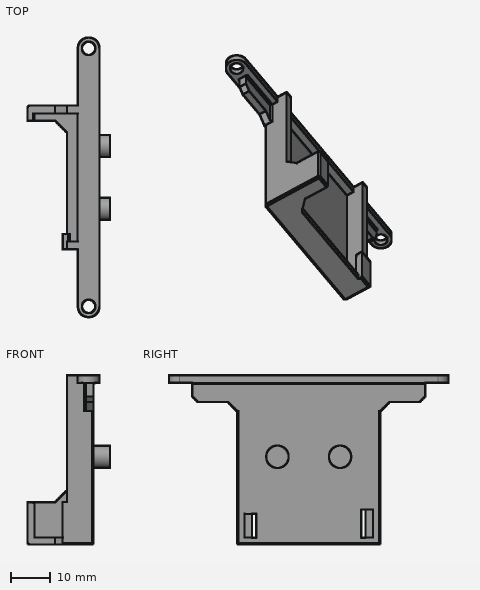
import cadquery as cq

height = 43.4
bar_length = 71.6
thickness = 2.0
edge_chamfer = 0.4

tray_width = 36.8
back_x = 17.0
wall_front_x = 10.1
floor_thickness = 1.8
lip_top_z = 10.9
lip_width = 3.95
short_lip_x = 9.0
lip_thickness = 1.85
gusset = 3.0

slot_inner_y = 13.45
left_slot_top_z = 8.95
right_slot_top_z = 7.9

bar_width = 5.6
bar_front_x = 12.9
bar_hole_diameter = 3.4
arm_half_span = 29.85
arm_bottom_z = 36.45
arm_corner = 1.5
arm_gusset = 2.3
rear_wedge_size = 0.3

boss_diameter = 5.7
boss_end_x = 21.2
boss_spacing = 16.05
boss_z = 22.5

half_width = tray_width / 2
inner_y = half_width - thickness
lip_inner_y = half_width - lip_width
plate_front_x = back_x - thickness
bar_bottom_z = height - thickness


def block(x0, x1, y0, y1, z0, z1):
    """Box between opposite corners."""
    return cq.Workplane("XY").box(x1 - x0, y1 - y0, z1 - z0, centered=False).translate((x0, y0, z0))


def prism_along_y(points, y0, y1):
    """Extrude an XZ outline from y0 to y1."""
    return cq.Workplane("XZ", origin=(0, y0, 0)).polyline(points).close().extrude(y0 - y1)


def make_floor():
    outline = [
        (0, half_width),
        (back_x, half_width),
        (back_x, -half_width),
        (wall_front_x, -half_width),
        (wall_front_x, lip_inner_y - gusset),
        (wall_front_x - gusset, lip_inner_y),
        (0, lip_inner_y),
    ]
    return cq.Workplane("XY").polyline(outline).close().extrude(floor_thickness)


def make_long_wall():
    """Wall on +Y, reaching forward at the bottom to carry the front lip."""
    outline = [
        (0, 0),
        (back_x, 0),
        (back_x, height),
        (wall_front_x, height),
        (wall_front_x, lip_top_z + gusset),
        (wall_front_x - gusset, lip_top_z),
        (0, lip_top_z),
    ]
    return prism_along_y(outline, inner_y, half_width)


def make_lip(front_x, y0, y1):
    """Retaining lip with a lead-in chamfer on its inner top edge."""
    rear_x = front_x + lip_thickness
    outline = [
        (front_x, 0),
        (rear_x, 0),
        (rear_x, lip_top_z - edge_chamfer),
        (rear_x - edge_chamfer, lip_top_z),
        (front_x, lip_top_z),
    ]
    return prism_along_y(outline, y0, y1)


def make_tray():
    plate = block(plate_front_x, back_x, -half_width, half_width, 0, height)
    short_wall = block(wall_front_x, back_x, -half_width, -inner_y, 0, height)
    long_lip = make_lip(0, lip_inner_y, half_width)
    short_lip = make_lip(short_lip_x, -half_width, -lip_inner_y)
    tray = make_floor().union(plate).union(short_wall).union(make_long_wall())
    tray = tray.union(long_lip).union(short_lip)

    left_slot = block(plate_front_x, back_x, slot_inner_y, inner_y, floor_thickness, left_slot_top_z)
    right_slot = block(plate_front_x, back_x, -inner_y, -slot_inner_y, floor_thickness, right_slot_top_z)
    tray = tray.cut(left_slot).cut(right_slot)

    outer_edges = []
    for edge in tray.edges().vals():
        center = edge.Center()
        on_side = abs(abs(center.y) - half_width) < 0.01
        on_bottom = abs(center.z) < 0.01
        on_back = abs(center.x - back_x) < 0.01
        on_lip_front = min(abs(center.x), abs(center.x - short_lip_x)) < 0.01
        on_long_corner = on_side and abs(center.x) < 0.01
        bottom_rim = on_bottom and (on_side or on_back or on_lip_front)
        rear_upright = on_back and on_side
        if bottom_rim or rear_upright or on_long_corner:
            outer_edges.append(edge)
    return tray.newObject(outer_edges).chamfer(edge_chamfer)


def make_bar():
    center_x = bar_front_x + bar_width / 2
    hole_y = (bar_length - bar_width) / 2
    bar = cq.Workplane("XY", origin=(center_x, 0, bar_bottom_z)).slot2D(bar_length, bar_width, 90)
    bar = bar.extrude(thickness)
    holes = cq.Workplane("XY", origin=(center_x, 0, bar_bottom_z))
    holes = holes.pushPoints([(0, -hole_y), (0, hole_y)]).circle(bar_hole_diameter / 2).extrude(thickness)
    return bar.cut(holes)


def make_arm():
    """Stiffening arm on +Y, with wedges along the bar and the tray wall."""
    root_y = inner_y
    gusset_z = arm_bottom_z - arm_gusset
    outline = [
        (root_y, bar_bottom_z),
        (arm_half_span, bar_bottom_z),
        (arm_half_span, arm_bottom_z + arm_corner),
        (arm_half_span - arm_corner, arm_bottom_z),
        (half_width + arm_gusset, arm_bottom_z),
        (half_width, gusset_z),
        (root_y, gusset_z),
    ]
    arm = cq.Workplane("YZ", origin=(plate_front_x, 0, 0)).polyline(outline).close().extrude(thickness)

    bar_wedge = prism_along_y(
        [
            (plate_front_x, bar_bottom_z),
            (plate_front_x - edge_chamfer, bar_bottom_z),
            (plate_front_x, bar_bottom_z - edge_chamfer),
        ],
        half_width,
        arm_half_span,
    )
    wall_wedge = (
        cq.Workplane("XY", origin=(0, 0, gusset_z))
        .moveTo(plate_front_x, half_width)
        .lineTo(plate_front_x - edge_chamfer, half_width)
        .lineTo(plate_front_x, half_width + edge_chamfer)
        .close()
        .extrude(bar_bottom_z - gusset_z)
    )
    slope = (
        cq.Workplane("YZ", origin=(bar_front_x, 0, 0))
        .moveTo(half_width, gusset_z)
        .lineTo(half_width + arm_gusset, arm_bottom_z)
        .lineTo(half_width + arm_gusset, gusset_z)
        .close()
        .extrude(bar_width)
    )
    return arm.union(bar_wedge).union(wall_wedge.cut(slope))


def make_rear_wedge():
    outline = [
        (back_x, bar_bottom_z),
        (back_x + rear_wedge_size, bar_bottom_z),
        (back_x, bar_bottom_z - rear_wedge_size),
    ]
    return prism_along_y(outline, -arm_half_span, arm_half_span)


def make_bosses():
    centers = [(-boss_spacing / 2, boss_z), (boss_spacing / 2, boss_z)]
    start_x = plate_front_x + thickness / 2
    bosses = cq.Workplane("YZ", origin=(start_x, 0, 0)).pushPoints(centers)
    return bosses.circle(boss_diameter / 2).extrude(boss_end_x - start_x)


left_arm = make_arm()
result = make_tray().union(make_bar()).union(left_arm).union(left_arm.mirror("XZ"))
result = result.union(make_rear_wedge()).union(make_bosses())